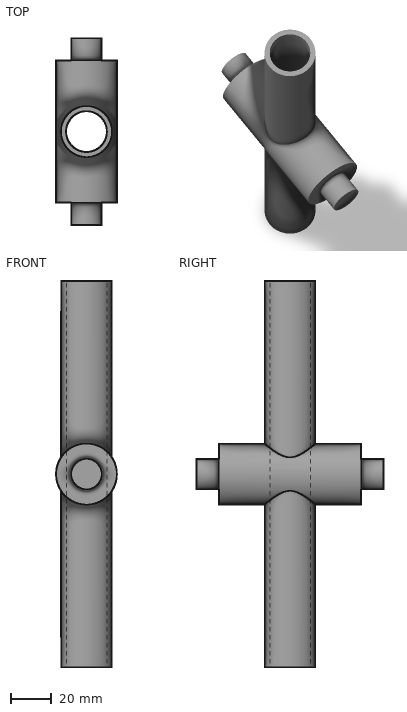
import cadquery as cq

tube_length = 190.0
tube_diameter = 25.0
bore_diameter = 20.0

barrel_diameter = 30.0
barrel_length = 70.0
pin_diameter = 15.0
pin_length = 11.0
pin_span = barrel_length + 2 * pin_length


def centred_cylinder(plane, diameter, length):
    """Cylinder centred on the origin, along the normal of the plane."""
    return cq.Workplane(plane).circle(diameter / 2).extrude(length / 2, both=True)


tube = centred_cylinder("XY", tube_diameter, tube_length)
barrel = centred_cylinder("XZ", barrel_diameter, barrel_length)
pins = centred_cylinder("XZ", pin_diameter, pin_span)

bore = centred_cylinder("XY", bore_diameter, tube_length)

result = barrel.union(pins).union(tube).cut(bore)